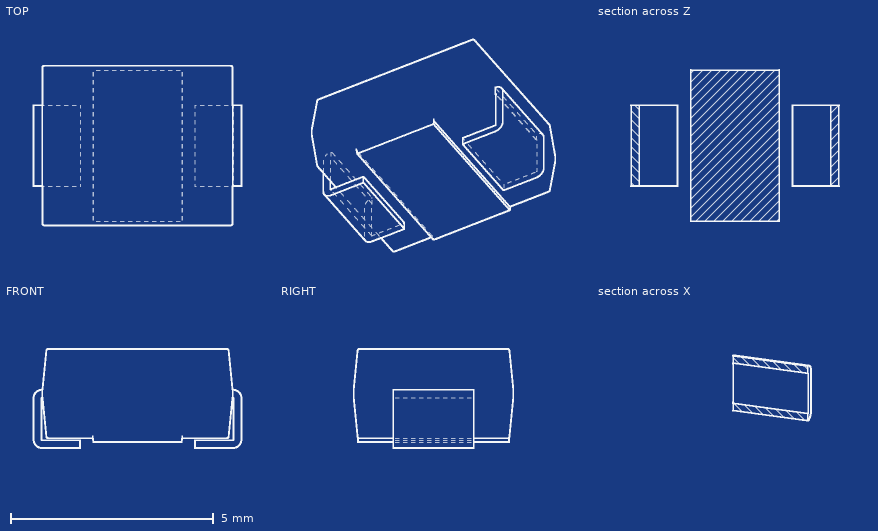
import cadquery as cq

overall_length = 5.14
overall_height = 2.45
body_width = 3.95

lead_thickness = 0.2
lead_width = 2.0
foot_length = 1.15
bend_inner_radius = 0.02
bend_outer_radius = bend_inner_radius + lead_thickness

body_length = overall_length - 2 * bend_outer_radius
half_height = 1.0
draft_angle = 5.7
edge_radius = 0.05
band_top = overall_height - half_height
band_bottom = band_top - lead_thickness

pad_top_length = 2.405
pad_bottom = 0.15


def tapered_block(length, start_z, height):
    """Block of the housing width, narrowing away from its start; a negative height goes down."""
    return (
        cq.Workplane("XY")
        .workplane(offset=start_z)
        .rect(length, body_width)
        .extrude(height, taper=draft_angle)
    )


def make_housing():
    upper_half = tapered_block(body_length, band_top, half_height)
    upper_half = upper_half.edges("not(#Z)").fillet(edge_radius)
    upper_half = upper_half.faces(">Z").edges().fillet(edge_radius)

    band = upper_half.faces("<Z").wires().toPending().extrude(band_bottom - band_top, combine=False)
    band_middle = (band_top + band_bottom) / 2
    lower_half = upper_half.mirror("XY", (0, 0, band_middle))

    pad = tapered_block(pad_top_length, band_bottom, pad_bottom - band_bottom)
    return upper_half.union(band).union(lower_half).union(pad, clean=False)


def make_lead():
    """Lead at the -X end: a bend leaving the band, a vertical leg, a second bend and a foot."""
    outer_x = -overall_length / 2
    inner_x = outer_x + lead_thickness
    bend_x = outer_x + bend_outer_radius
    foot_end_x = outer_x + foot_length
    leg_top = band_top - bend_outer_radius
    leg_bottom = bend_outer_radius

    return (
        cq.Workplane("XZ")
        .moveTo(bend_x, band_top)
        .radiusArc((outer_x, leg_top), -bend_outer_radius)
        .lineTo(outer_x, leg_bottom)
        .radiusArc((bend_x, 0), -bend_outer_radius)
        .lineTo(foot_end_x, 0)
        .lineTo(foot_end_x, lead_thickness)
        .lineTo(bend_x, lead_thickness)
        .radiusArc((inner_x, leg_bottom), bend_inner_radius)
        .lineTo(inner_x, leg_top)
        .radiusArc((bend_x, band_bottom), bend_inner_radius)
        .close()
        .extrude(lead_width / 2, both=True)
    )


housing = make_housing()
leads = []
for turn in (0, 180):
    lead = make_lead().rotate((0, 0, 0), (0, 0, 1), turn)
    leads.append(lead.val())

result = cq.Compound.makeCompound([housing.solids().val(), *leads])